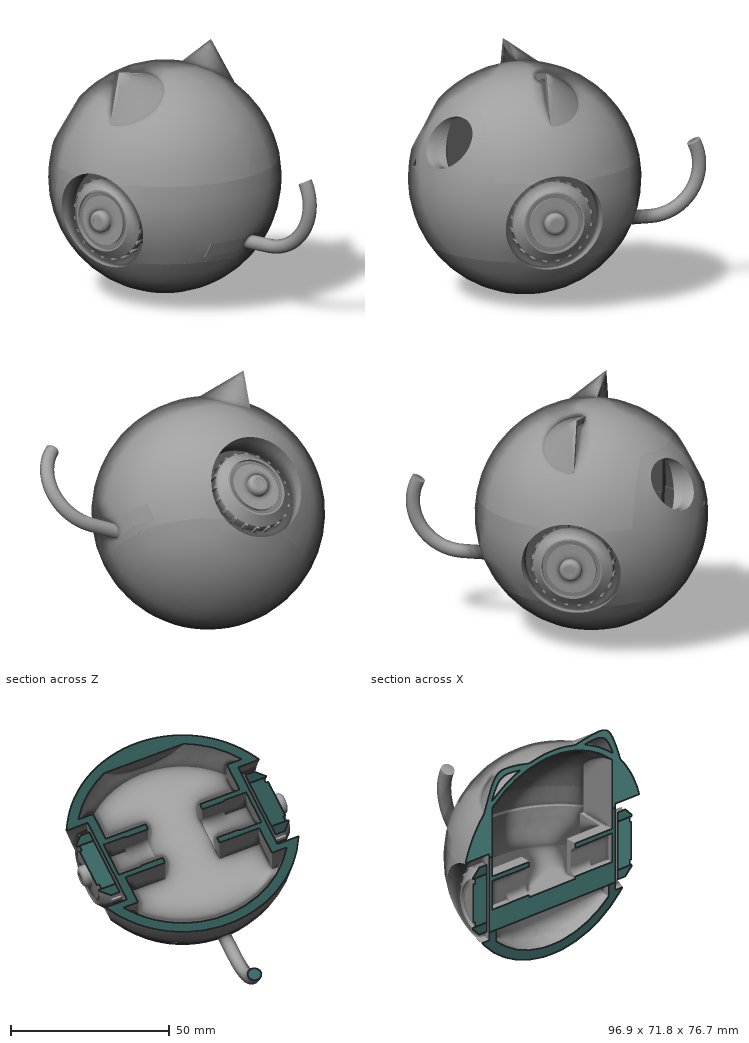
import cadquery as cq
import math

BALL_R = 37.0
SHELL_WALL = 2.0
CAVITY_R = BALL_R - SHELL_WALL
LEDGE_WIDTH = 1.5
LEDGE_Z = 0.0
SPAN = 4 * BALL_R

HEAD_Z = 7.0
BASE_Z = -20.0
FACE_X = -19.3
FACE_TOP_Z = 26.7

EYE_D = 17.0
EYE_Y = 13.2
EYE_TILT = 10.0
EYE_SEAT_X = -27.0
EYE_SEAT_Z = 16.2
EYE_REACH = 7.0

NOSE_BASE_Z = 5.85
NOSE_HEIGHT = 2.8
NOSE_WIDTH = 3.3
NOSE_DEPTH = 2.5
NOSE_TILT = 27.0

EAR_TIP_Y = 24.0
EAR_TIP_Z = 39.72
EAR_BASE_R = 11.7
EAR_WALL = 2.0
EAR_LEAN = 30.0
EAR_SINK = 0.5

WHEEL_Z = -7.1
WELL_R = 16.0
WELL_FLOOR_Y = 26.0
WELL_BLOCK_X = WELL_R + 2.0
WELL_BLOCK_Y = 24.5
LEDGE_Y = WELL_BLOCK_Y - LEDGE_WIDTH

FLOOR_Z = -12.8
BAY_WIDTH = 15.8
BAY_INNER_Y = 9.3
BAY_TOP_Z = 0.0
MOTOR_WIDTH = 12.0
MOTOR_HEIGHT = 10.2
MOTOR_CORNER_R = 2.6
MOTOR_Z = -6.9
GEARBOX_Y = 17.0

TAIL_D = 4.5
TAIL_Z = -15.6
TAIL_BEND_R = 16.0
TAIL_BEND_ANGLE = 118.0
TAIL_REACH_X = 59.88
TAIL_BEND_X = TAIL_REACH_X - TAIL_D / 2 - TAIL_BEND_R
PLUG_X = 26.0
PLUG_HEIGHT = 4.6
PLUG_WIDTH = 32.0
PLUG_SIDE_GAP = 0.3

TIRE_FACE_Y = 32.8
TIRE_BACK_Y = 26.8
TIRE_FACE_R = 20.01 / 2
TIRE_R = 12.8
TIRE_BORE_R = 19.0 / 2
TIRE_CONE_Y = TIRE_FACE_Y - (TIRE_R - TIRE_FACE_R)
TREAD_COUNT = 20
TREAD_R = 13.4
TREAD_WIDTH = 1.0
HUB_RIM_Y = 31.8
HUB_DISC_R = 16.0 / 2
HUB_DISC_Y = 32.6
HUB_BOSS_R = 7.0 / 2
HUB_BOSS_Y = 35.3
HUB_BOSS_ROUND = 1.5
SHAFT_R = 1.65
SHAFT_FLAT = 1.15
SHAFT_DEPTH = 0.2

SIDES = (-1, 1)


def block(x_range, y_range, z_range):
    """Box between the given low and high values of each axis."""
    sizes = [high - low for low, high in (x_range, y_range, z_range)]
    corner = (x_range[0], y_range[0], z_range[0])
    return cq.Workplane("XY").box(*sizes, centered=False).translate(corner)


def side_block(half_x, y_range, z_range, side):
    """Box centred on X, between two distances from the middle plane on one side."""
    low, high = sorted(side * y for y in y_range)
    return block((-half_x, half_x), (low, high), z_range)


def wheel_plane(side, y):
    """Workplane square to a wheel axle, facing outward, local y pointing up."""
    return cq.Workplane(cq.Plane((0, side * y, WHEEL_Z), (-side, 0, 0), (0, side, 0)))


def make_cavity():
    """Hollow of the ball: a sphere with a flat tilted front and room left for the wells."""
    face_plane = cq.Plane(
        (EYE_SEAT_X, 0, EYE_SEAT_Z),
        (0, 1, 0),
        (math.cos(math.radians(EYE_TILT)), 0, -math.sin(math.radians(EYE_TILT))),
    )
    behind_face = cq.Workplane(face_plane).rect(SPAN, SPAN).extrude(SPAN)
    ledge = block((-BALL_R, BALL_R), (-BALL_R, BALL_R), (-BALL_R, LEDGE_Z))
    ledge = ledge.cut(cq.Workplane("XY").sphere(CAVITY_R - LEDGE_WIDTH))
    hollow = cq.Workplane("XY").sphere(CAVITY_R).intersect(behind_face).cut(ledge)
    for side in SIDES:
        hollow = hollow.cut(side_block(WELL_BLOCK_X, (WELL_BLOCK_Y, BALL_R), (-BALL_R, BALL_R), side))
        hollow = hollow.cut(side_block(WELL_BLOCK_X, (LEDGE_Y, BALL_R), (-BALL_R, LEDGE_Z), side))
    slab = block((-BALL_R, BALL_R), (-BALL_R, BALL_R), (BASE_Z, FLOOR_Z))
    return hollow.cut(slab)


def make_shell():
    """Whole hollow ball with both wheel wells, before it is split."""
    shell = cq.Workplane("XY").sphere(BALL_R).cut(make_cavity())
    for side in SIDES:
        shell = shell.cut(wheel_plane(side, WELL_FLOOR_Y).circle(WELL_R).extrude(BALL_R))
    return shell


def make_head_zone():
    """Space taken by the head: above the split, less the step for the face panel."""
    above = block((-SPAN, SPAN), (-SPAN, SPAN), (HEAD_Z, SPAN))
    return above.cut(block((-SPAN, FACE_X), (-SPAN, SPAN), (HEAD_Z, FACE_TOP_Z)))


def make_base_zone():
    """Space taken by the base, below the lower split."""
    return block((-SPAN, SPAN), (-SPAN, SPAN), (-SPAN, BASE_Z))


def make_plug(width):
    """Flat bar reaching from inside the shell to the surface of the ball."""
    half_height = PLUG_HEIGHT / 2
    bar = block(
        (PLUG_X, BALL_R), (-width / 2, width / 2), (TAIL_Z - half_height, TAIL_Z + half_height)
    )
    return bar.intersect(cq.Workplane("XY").sphere(BALL_R))


def make_ear(side):
    """Hollow half cone standing on the head, flat and open toward the face."""
    tip_distance = math.hypot(EAR_TIP_Y, EAR_TIP_Z)
    base_distance = math.sqrt(BALL_R**2 - EAR_BASE_R**2)
    foot_distance = base_distance - EAR_SINK
    slope = EAR_BASE_R / (tip_distance - base_distance)
    hollow_tip = tip_distance - EAR_WALL / math.sin(math.atan(slope))

    def half_cone(tip):
        foot_radius = (tip - foot_distance) * slope
        profile = [(0, foot_distance), (foot_radius, foot_distance), (0, tip)]
        cone = cq.Workplane("XZ").polyline(profile).close().revolve(180, (0, 0), (0, 1))
        cone = cone.rotate((0, 0, 0), (0, 0, 1), 90)
        if cone.val().Center().x < 0:
            cone = cone.mirror("YZ")
        return cone

    ear = half_cone(tip_distance).cut(half_cone(hollow_tip))
    ear = ear.translate((0, 0, -tip_distance)).rotate((0, 0, 0), (1, 0, 0), -side * EAR_LEAN)
    return ear.translate((0, side * EAR_TIP_Y, EAR_TIP_Z))


def make_head(shell, head_zone):
    head = shell.intersect(head_zone)
    for side in SIDES:
        head = head.union(make_ear(side))
    return head


def make_eye_hole(side):
    """Cylinder along the upward-looking line of sight."""
    tilt = math.radians(EYE_TILT)
    outward = (-math.cos(tilt), 0, math.sin(tilt))
    plane = cq.Plane((EYE_SEAT_X, side * EYE_Y, EYE_SEAT_Z), (0, 1, 0), outward)
    return cq.Workplane(plane).workplane(offset=-EYE_REACH).circle(EYE_D / 2).extrude(BALL_R)


def make_nose_recess():
    """Triangular prism that rises as it goes into the face."""
    surface_x = -math.sqrt(BALL_R**2 - NOSE_BASE_Z**2)
    rise = math.tan(math.radians(NOSE_TILT))
    outer_reach = NOSE_DEPTH + SHELL_WALL

    def triangle(x):
        base_z = NOSE_BASE_Z + (x - surface_x) * rise
        corners = [(-NOSE_WIDTH / 2, base_z), (NOSE_WIDTH / 2, base_z), (0, base_z + NOSE_HEIGHT)]
        return cq.Wire.makePolygon([cq.Vector(x, y, z) for y, z in corners], close=True)

    ends = [triangle(surface_x - outer_reach), triangle(surface_x + NOSE_DEPTH)]
    return cq.Workplane(cq.Solid.makeLoft(ends, True))


def make_motor_bay(side):
    """Block between a well and the middle of the body that holds one motor."""
    return side_block(BAY_WIDTH / 2, (BAY_INNER_Y, LEDGE_Y), (FLOOR_Z, BAY_TOP_Z), side)


def make_motor_pocket(side):
    """Rounded pocket for the motor, running into a square one for its gearbox."""
    z_range = (MOTOR_Z - MOTOR_HEIGHT / 2, MOTOR_Z + MOTOR_HEIGHT / 2)
    motor = side_block(MOTOR_WIDTH / 2, (BAY_INNER_Y, GEARBOX_Y), z_range, side)
    motor = motor.edges("|Y").fillet(MOTOR_CORNER_R)
    gearbox = side_block(MOTOR_WIDTH / 2, (GEARBOX_Y, WELL_BLOCK_Y), z_range, side)
    return motor.union(gearbox)


def make_body(shell, head_zone, base_zone):
    body = shell.cut(head_zone).cut(base_zone)
    for side in SIDES:
        body = body.cut(make_eye_hole(side))
        body = body.union(make_motor_bay(side)).cut(make_motor_pocket(side))
    return body.cut(make_nose_recess()).cut(make_plug(PLUG_WIDTH + 2 * PLUG_SIDE_GAP))


def make_base(shell, base_zone):
    return shell.intersect(base_zone)


def make_tail():
    """Plug, straight rod and upward bend as one solid."""
    bend_center_z = TAIL_Z + TAIL_BEND_R

    def on_bend(degrees):
        angle = math.radians(degrees)
        return (TAIL_BEND_X + TAIL_BEND_R * math.sin(angle), bend_center_z - TAIL_BEND_R * math.cos(angle))

    path = (
        cq.Workplane("XZ")
        .moveTo(PLUG_X, TAIL_Z)
        .lineTo(TAIL_BEND_X, TAIL_Z)
        .threePointArc(on_bend(TAIL_BEND_ANGLE / 2), on_bend(TAIL_BEND_ANGLE))
    )
    start = cq.Workplane("YZ", origin=(PLUG_X, 0, TAIL_Z))
    rod = start.circle(TAIL_D / 2).sweep(path)
    return rod.union(make_plug(PLUG_WIDTH))


def make_tire(side):
    """Ring with a 45 degree outer cone and short tread bars around its rim."""
    width = TIRE_CONE_Y - TIRE_BACK_Y
    tire = wheel_plane(side, TIRE_BACK_Y).circle(TIRE_R).extrude(width)
    cone = cq.Solid.makeCone(
        TIRE_R,
        TIRE_FACE_R,
        TIRE_FACE_Y - TIRE_CONE_Y,
        cq.Vector(0, side * TIRE_CONE_Y, WHEEL_Z),
        cq.Vector(0, side, 0),
    )
    bar_length = TREAD_R - TIRE_BORE_R
    bars = (
        wheel_plane(side, TIRE_BACK_Y)
        .polarArray((TREAD_R + TIRE_BORE_R) / 2, 180 / TREAD_COUNT, 360, TREAD_COUNT)
        .rect(bar_length, TREAD_WIDTH)
        .extrude(width)
    )
    bore = wheel_plane(side, TIRE_BACK_Y).circle(TIRE_BORE_R).extrude(SPAN)
    return tire.union(cq.Workplane(cone)).union(bars).cut(bore)


def make_hub(side):
    """Stepped disc filling the tire, with a rounded boss and a D-shaped shaft hole."""
    hub = wheel_plane(side, TIRE_BACK_Y).circle(TIRE_BORE_R).extrude(HUB_RIM_Y - TIRE_BACK_Y)
    disc = wheel_plane(side, TIRE_BACK_Y).circle(HUB_DISC_R).extrude(HUB_DISC_Y - TIRE_BACK_Y)
    boss = wheel_plane(side, TIRE_BACK_Y).circle(HUB_BOSS_R).extrude(HUB_BOSS_Y - TIRE_BACK_Y)
    boss = boss.faces(">Y" if side > 0 else "<Y").edges().fillet(HUB_BOSS_ROUND)
    flat_half = math.sqrt(SHAFT_R**2 - SHAFT_FLAT**2)
    shaft_hole = (
        wheel_plane(side, HUB_BOSS_Y - SHAFT_DEPTH)
        .moveTo(-flat_half, -SHAFT_FLAT)
        .threePointArc((0, SHAFT_R), (flat_half, -SHAFT_FLAT))
        .close()
        .extrude(SHAFT_DEPTH)
    )
    return hub.union(disc).union(boss).cut(shaft_hole)


ball_shell = make_shell()
head_space = make_head_zone()
base_space = make_base_zone()

head = make_head(ball_shell, head_space)
body = make_body(ball_shell, head_space, base_space)
base = make_base(ball_shell, base_space)
tail = make_tail()
tires = [make_tire(side) for side in SIDES]
hubs = [make_hub(side) for side in SIDES]

result = cq.Compound.makeCompound(
    [part.val() for part in [head, body, base, tail, *tires, *hubs]]
)